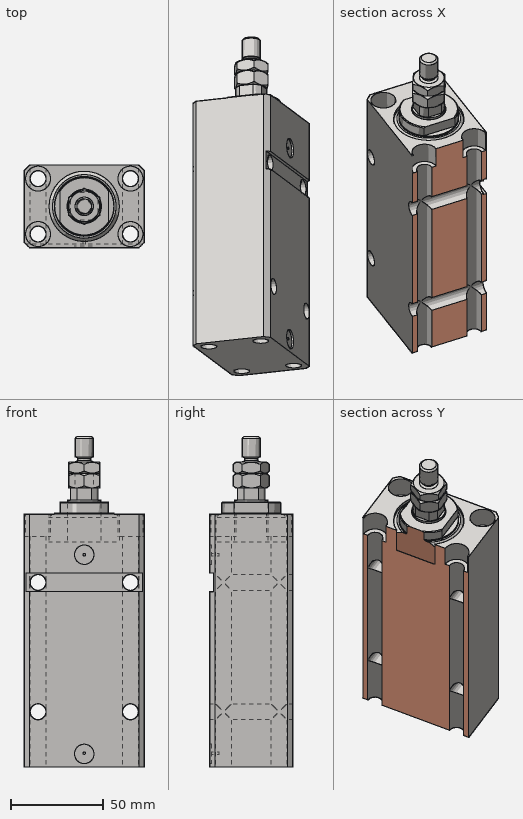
import cadquery as cq
import math

housing_width = 65.0
housing_depth = 45.0
housing_height = 137.0
corner_cut = 3.0
front_y = -housing_depth / 2

hole_diameter = 8.5
hole_spacing_x = 50.0
hole_spacing_y = 30.0
counterbore_diameter = 13.5
counterbore_depth = 12.0
cross_hole_heights = (30.0, 100.0)

slot_center_z = cross_hole_heights[1]
slot_width = 10.0
slot_depth = 2.0

port_diameter = 10.5
port_depth = 1.0
feed_diameter = 1.3
feed_depth = 5.0
port_heights = (7.2, 115.0)
feed_heights = (7.6, 115.0)

gland_thread_radius = 19.0
gland_thread_length = 15.0
gland_thread_chamfer = 1.8
gland_flange_radius = 16.0
gland_shoulder_chamfer = 0.2
gland_shoulder_radius = gland_flange_radius + gland_shoulder_chamfer
gland_shoulder_height = 0.6
gland_flange_height = 6.5
gland_flange_chamfer = 0.5
gland_across_flats = 26.0
gland_bore_chamfer = 0.3
gland_bottom_z = housing_height - gland_thread_length
gland_top_z = housing_height + gland_flange_height

rod_radius = 9.0
rod_collar_z = 144.6
square_across_flats = 15.0
square_corner_radius = 8.5
rod_top_z = 151.0

hex_across_flats = 17.0
hex_face_radius = 8.3
hex_chamfer_angle = 40.0
nut_height = 8.0
head_height = 6.2
nut_top_z = rod_top_z + nut_height
head_top_z = nut_top_z + head_height

stud_radius = 5.0
stud_tip_chamfer = 1.0
stud_tip_z = 179.0
stud_foot_z = 167.9
neck_radius = 3.6
neck_ledge_radius = 4.3
neck_taper_height = 0.7


def cylinder(radius, bottom_z, top_z):
    return cq.Workplane("XY").workplane(offset=bottom_z).circle(radius).extrude(top_z - bottom_z)


def revolve_profile(points):
    """Turn a closed outline of (radius, z) points about the Z axis."""
    return cq.Workplane("XZ").polyline(points).close().revolve(360, (0, 0, 0), (0, 1, 0))


def front_drilling(points, diameter, depth):
    """Cylinders running inward from the front face at the given (x, z) points."""
    return (
        cq.Workplane("XZ", origin=(0, front_y, 0))
        .pushPoints(points)
        .circle(diameter / 2)
        .extrude(-depth)
    )


def make_hexagon(bottom_z, height):
    """Hexagonal prism with corners on the Y axis and both ends chamfered by a cone."""
    corner_radius = hex_across_flats / 2 / math.cos(math.radians(30))
    chamfer_height = (corner_radius - hex_face_radius) * math.tan(math.radians(hex_chamfer_angle))
    top_z = bottom_z + height
    prism = (
        cq.Workplane("XY", origin=(0, 0, bottom_z))
        .transformed(rotate=(0, 0, 90))
        .polygon(6, 2 * corner_radius)
        .extrude(height)
    )
    envelope = revolve_profile([
        (0, bottom_z),
        (hex_face_radius, bottom_z),
        (corner_radius, bottom_z + chamfer_height),
        (corner_radius, top_z - chamfer_height),
        (hex_face_radius, top_z),
        (0, top_z),
    ])
    return prism.intersect(envelope)


def make_housing():
    half_x = housing_width / 2
    half_y = housing_depth / 2
    corner_x = half_x - corner_cut
    corner_y = half_y - corner_cut
    body = (
        cq.Workplane("XY")
        .polyline([
            (corner_x, -half_y),
            (half_x, -corner_y),
            (half_x, corner_y),
            (corner_x, half_y),
            (-corner_x, half_y),
            (-half_x, corner_y),
            (-half_x, -corner_y),
            (-corner_x, -half_y),
        ])
        .close()
        .extrude(housing_height)
    )

    body = (
        body.faces(">Z")
        .workplane(origin=(0, 0, housing_height))
        .rarray(hole_spacing_x, hole_spacing_y, 2, 2)
        .cboreHole(hole_diameter, counterbore_diameter, counterbore_depth)
    )

    cross_points = [(side * hole_spacing_x / 2, z) for side in (-1, 1) for z in cross_hole_heights]
    body = body.cut(front_drilling(cross_points, hole_diameter, housing_depth))

    slot = cq.Workplane("XY").box(housing_width, 2 * slot_depth, slot_width)
    body = body.cut(slot.translate((0, front_y, slot_center_z)))

    body = body.cut(front_drilling([(0, z) for z in port_heights], port_diameter, port_depth))
    body = body.cut(front_drilling([(0, z) for z in feed_heights], feed_diameter, feed_depth))

    return body.cut(cylinder(gland_thread_radius, gland_bottom_z, housing_height))


def make_gland():
    shoulder_z = housing_height + gland_shoulder_height
    thread = cylinder(gland_thread_radius, gland_bottom_z, housing_height)
    thread = thread.faces(">Z").chamfer(gland_thread_chamfer)
    shoulder = cylinder(gland_shoulder_radius, housing_height, shoulder_z)
    shoulder = shoulder.faces(">Z").chamfer(gland_shoulder_chamfer)
    flange = cylinder(gland_flange_radius, shoulder_z, gland_top_z)
    flange = flange.faces(">Z").chamfer(gland_flange_chamfer)
    flats = cq.Workplane("XY").box(gland_across_flats, housing_depth, 2 * gland_top_z)
    gland = thread.union(shoulder).union(flange.intersect(flats))
    bore = revolve_profile([
        (0, gland_bottom_z),
        (rod_radius, gland_bottom_z),
        (rod_radius, gland_top_z - gland_bore_chamfer),
        (rod_radius + gland_bore_chamfer, gland_top_z),
        (0, gland_top_z),
    ])
    return gland.cut(bore)


def make_rod():
    """Piston rod with its wrench square, the shank through the nut, the hexagon head and the end stud."""
    shaft = cylinder(rod_radius, gland_bottom_z, rod_collar_z)
    square = cylinder(square_corner_radius, rod_collar_z, rod_top_z).intersect(
        cq.Workplane("XY").box(square_across_flats, square_across_flats, 2 * rod_top_z)
    )
    shank = cylinder(stud_radius, rod_top_z, nut_top_z)
    head = make_hexagon(nut_top_z, head_height)
    stud = revolve_profile([
        (0, head_top_z),
        (stud_radius, head_top_z),
        (neck_radius, head_top_z + neck_taper_height),
        (neck_radius, stud_foot_z - neck_taper_height),
        (neck_ledge_radius, stud_foot_z),
        (stud_radius, stud_foot_z),
        (stud_radius, stud_tip_z - stud_tip_chamfer),
        (stud_radius - stud_tip_chamfer, stud_tip_z),
        (0, stud_tip_z),
    ])
    return shaft.union(square).union(shank).union(head).union(stud)


def make_lock_nut():
    return make_hexagon(rod_top_z, nut_height).cut(cylinder(stud_radius, rod_top_z, nut_top_z))


housing = make_housing()
gland = make_gland()
rod = make_rod()
lock_nut = make_lock_nut()

result = cq.Compound.makeCompound([housing.val(), gland.val(), rod.val(), lock_nut.val()])